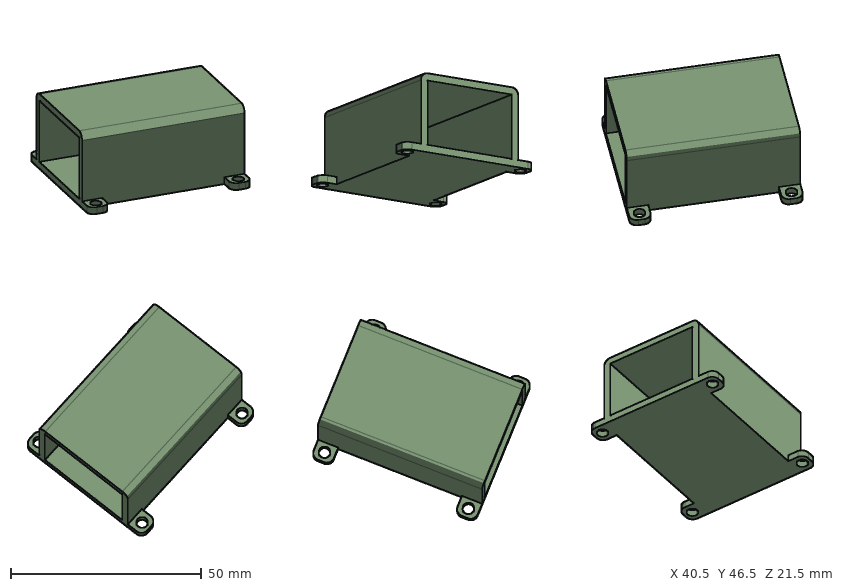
import cadquery as cq

wall = 2.0
cavity_width = 26.5
cavity_height = 17.5
length = 46.5
top_edge_radius = 2.0

tab_reach = 5.0
tab_length = 5.75
tab_thickness = wall
tab_corner_radius = 2.0
hole_diameter = 3.05
hole_inset = tab_reach / 2

outer_width = cavity_width + 2 * wall
outer_height = cavity_height + 2 * wall
overall_width = outer_width + 2 * tab_reach
tab_center_y = (length - tab_length) / 2
hole_center_x = overall_width / 2 - hole_inset


def make_housing():
    """Tube open at both Y ends, with its two long top edges rounded."""
    body = (
        cq.Workplane("XY")
        .box(outer_width, length, outer_height, centered=(True, True, False))
        .edges("|Y and >Z")
        .fillet(top_edge_radius)
    )
    cavity = (
        cq.Workplane("XY")
        .workplane(offset=wall)
        .box(cavity_width, length, cavity_height, centered=(True, True, False))
    )
    return body.cut(cavity)


def make_tab_strip(center_y):
    """Rounded strip across the floor whose two ends form a pair of drilled tabs."""
    return (
        cq.Workplane("XY")
        .center(0, center_y)
        .box(overall_width, tab_length, tab_thickness, centered=(True, True, False))
        .edges("|Z")
        .fillet(tab_corner_radius)
        .faces(">Z")
        .workplane(origin=(0, center_y, tab_thickness))
        .pushPoints([(-hole_center_x, 0), (hole_center_x, 0)])
        .hole(hole_diameter)
    )


result = make_housing()
for end_y in (-tab_center_y, tab_center_y):
    result = result.union(make_tab_strip(end_y))